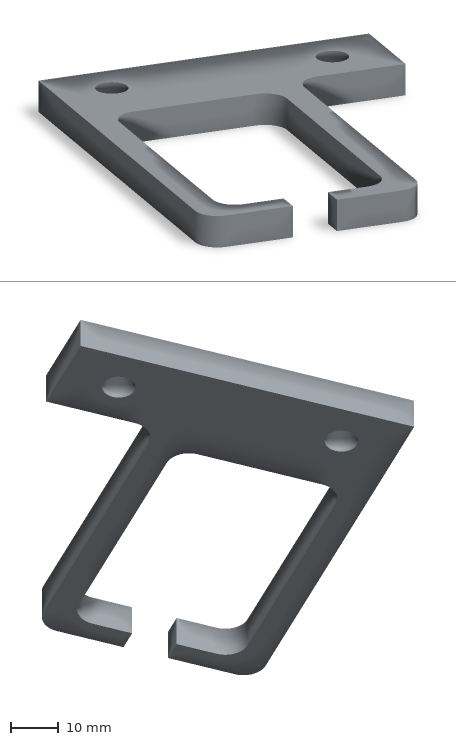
import cadquery as cq

length = 91.0
height = 75.0
thickness = 7.0

flange_width = 20.0
hole_diameter = 7.0
hole_end_distance = 12.5

frame_height = 50.0
rail_width = 6.0
end_wall = 5.0
window_left = 25.0
corner_radius = 5.0

gap_bottom = 20.0
gap_height = 10.0


def make_plate():
    """L-shaped plate with rounded frame corners and inside corner."""
    plate = (
        cq.Workplane("XY")
        .moveTo(0, 0)
        .lineTo(length, 0)
        .lineTo(length, frame_height)
        .lineTo(flange_width, frame_height)
        .lineTo(flange_width, height)
        .lineTo(0, height)
        .close()
        .extrude(thickness)
    )
    plate = plate.edges("|Z and >X").fillet(corner_radius)
    inside_corner = cq.selectors.NearestToPointSelector((flange_width, frame_height, thickness / 2))
    return plate.edges(inside_corner).fillet(corner_radius)


def make_window():
    """Rounded rectangular opening inside the frame."""
    window_length = length - end_wall - window_left
    window_height = frame_height - 2 * rail_width
    return (
        cq.Workplane("XY")
        .box(window_length, window_height, thickness, centered=False)
        .edges("|Z")
        .fillet(corner_radius)
        .translate((window_left, rail_width, 0))
    )


def make_gap():
    """Slot that splits the end wall into two hooks."""
    gap_length = 2 * end_wall
    return (
        cq.Workplane("XY")
        .box(gap_length, gap_height, thickness, centered=False)
        .translate((length - gap_length, gap_bottom, 0))
    )


def make_holes():
    """Mounting holes centred across the flange, equally far from its ends."""
    centers = [(flange_width / 2, y) for y in (hole_end_distance, height - hole_end_distance)]
    return cq.Workplane("XY").pushPoints(centers).circle(hole_diameter / 2).extrude(thickness)


result = make_plate().cut(make_window()).cut(make_gap()).cut(make_holes())